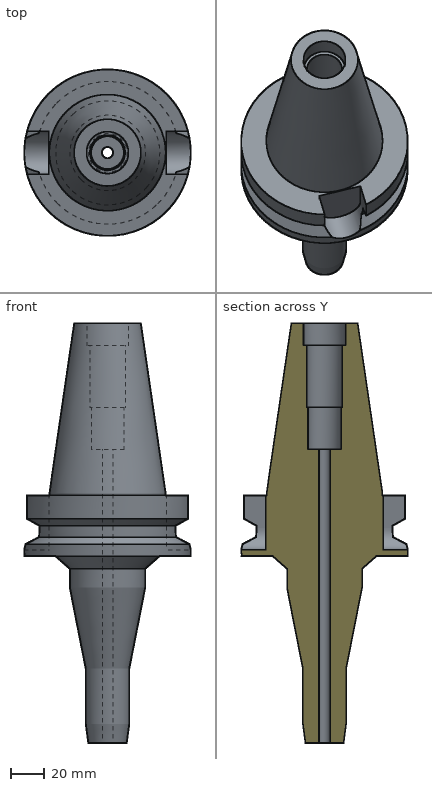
import cadquery as cq


total_height = 251.8
gauge_height = 150.0
flange_top = 148.5
flange_bottom = 112.0
groove_center = 127.0
collar_top = 104.5
collar_bottom = 93.2
neck_top = 44.5
nose_chamfer_top = 11.3

taper_rate = 7 / 24
gauge_radius = 69.7 / 2
taper_top_radius = gauge_radius - (total_height - gauge_height) * taper_rate / 2
flange_radius = 100.0 / 2
flange_cone_radius = 31.2
collar_radius = 22.7
neck_radius = 13.0
nose_radius = 11.5

groove_floor_radius = 42.8
groove_floor_width = 6.8
groove_mouth_width = 15.0

slot_width = 25.7
slot_floor = 35.3
slot_bottom = 116.0

mouth_radius = 12.5
mouth_depth = 13.0
thread_radius = 10.5
thread_depth = 50.4
pilot_radius = 9.8
pilot_depth = 75.5
through_radius = 3.3


def turned_body():
    outline = [
        (0, 0),
        (nose_radius, 0),
        (neck_radius, nose_chamfer_top),
        (neck_radius, neck_top),
        (collar_radius, collar_bottom),
        (collar_radius, collar_top),
        (flange_cone_radius, flange_bottom),
        (flange_radius, flange_bottom),
        (flange_radius, groove_center - groove_mouth_width / 2),
        (groove_floor_radius, groove_center - groove_floor_width / 2),
        (groove_floor_radius, groove_center + groove_floor_width / 2),
        (flange_radius, groove_center + groove_mouth_width / 2),
        (flange_radius, flange_top),
        (gauge_radius, flange_top),
        (gauge_radius, gauge_height),
        (taper_top_radius, total_height),
        (0, total_height),
    ]
    return cq.Workplane("XZ").polyline(outline).close().revolve(360, (0, 0), (0, 1))


def drive_slot():
    """Round-bottomed slot on the +X side, open at the top of the flange."""
    half_width = slot_width / 2
    arc_center = slot_bottom + half_width
    return (
        cq.Workplane("YZ", origin=(slot_floor, 0, 0))
        .moveTo(-half_width, flange_top)
        .lineTo(-half_width, arc_center)
        .threePointArc((0, slot_bottom), (half_width, arc_center))
        .lineTo(half_width, flange_top)
        .close()
        .extrude(flange_radius)
    )


def bore(radius, depth):
    """Cylinder reaching down from the taper end."""
    return cq.Workplane("XY", origin=(0, 0, total_height - depth)).circle(radius).extrude(depth)


result = turned_body()

for side_angle in (0, 180):
    result = result.cut(drive_slot().rotate((0, 0, 0), (0, 0, 1), side_angle))

for radius, depth in (
    (mouth_radius, mouth_depth),
    (thread_radius, thread_depth),
    (pilot_radius, pilot_depth),
    (through_radius, total_height),
):
    result = result.cut(bore(radius, depth))